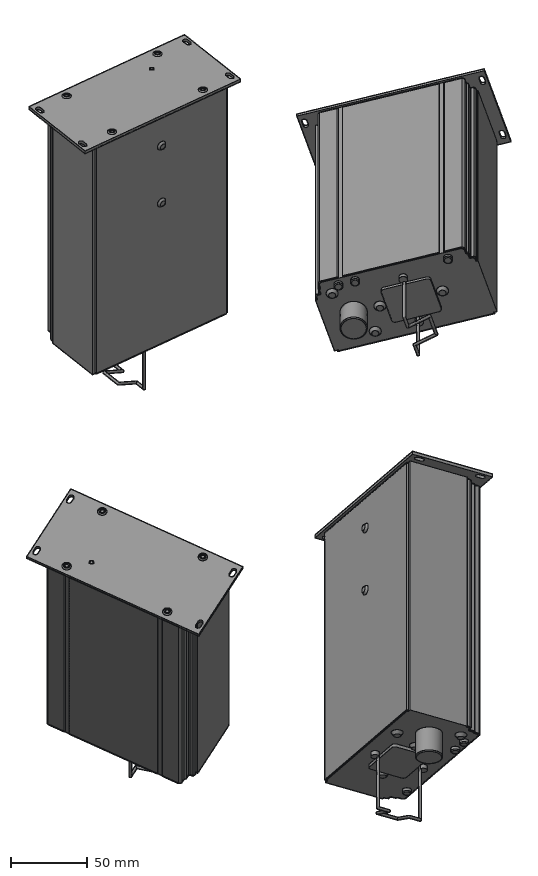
import cadquery as cq

plate_x = 60.5
plate_y = 128.3
plate_thick = 2.3
overall_z = 233.0

slot_length = 6.8
slot_width = 3.5
slot_x = 23.0
slot_edge_gap = 3.5

plate_screw_x = 24.5
case_screw_y = 37.5
plate_screw_dia = 6.0
screw_crown_dia = 4.2
plate_screw_height = 0.82
socket_dia = 2.8
socket_depth = 0.7

lamp_x = -14.0
lamp_y = 24.7
lamp_hole_dia = 3.0
lamp_dia = 2.0

case_length = 187.7
case_half_y = 55.7
heatsink_half_y = 55.0
back_half_y = 53.8
profile_setback = 0.7
heatsink_x = -29.5
cover_x0 = -16.0
cover_x1 = 27.3
back_x = 29.0
end_plate_inset = 0.7

round_depth = 1.6
round_mid_x = 1.0
round_mid_y = 0.5
shoulder_y = 50.3
ledge_start_x = -25.0
ledge_rise = 1.2
notch_wall_x = -20.0
root_bevel = 0.7
lip_bevel_x = 1.6
lip_bevel_y = 0.7

face_groove_inner_y = 33.0
face_groove_outer_y = 36.8
face_groove_depth = 0.7
face_groove_slope = 1.0

knob_dia = 6.8
knob_reach = 1.6
knob_depths = (23.8, 70.5)

fitting_x = 0.7
connector_y = 34.5
connector_dia = 18.0
connector_length = 18.0
connector_chamfer = 0.7
connector_screw_dx = 18.9
connector_screw_dy = 9.0
inlet_y = -5.0
inlet_x_size = 28.0
inlet_y_size = 34.0
inlet_height = 2.3
inlet_corner = 2.3
inlet_screw_dy = 21.5
dome_dia = 8.0
dome_crown_dia = 4.7
dome_height = 2.3

case_screw_x = -24.0
case_screw_dia = 6.0
case_screw_height = 2.8
case_screw_chamfer = 0.7
earth_screw_y = 26.0

wire_dia = 2.0
clip_boss_dx = 18.2
clip_boss_dia = 5.5
clip_boss_height = 3.0
clip_leg_dx = 15.8
clip_grip_dx = 7.7
clip_grip_dy = 15.0
clip_grip_rise = 5.8

case_bottom = -case_length
wire_low_z = plate_thick + plate_screw_height - overall_z + wire_dia / 2


def block(x0, x1, half_y, z0, z1):
    """Box between two X planes and two Z planes, symmetric in Y."""
    size = (x1 - x0, 2 * half_y, z1 - z0)
    return cq.Workplane("XY").box(*size, centered=False).translate((x0, -half_y, z0))


def cone(base_dia, tip_dia, height):
    """Screw head standing on Z = 0 and narrowing upward."""
    head = cq.Workplane("XY").circle(base_dia / 2)
    return head.workplane(offset=height).circle(tip_dia / 2).loft(ruled=True)


def heatsink_outline(inset, grooved):
    """Closed stepped outline of the heatsink profile, drawn in from the full size by inset."""
    face = heatsink_x + inset
    groove_floor = face + face_groove_depth
    half = []
    if grooved:
        half += [
            (face, face_groove_inner_y),
            (groove_floor, face_groove_inner_y),
            (groove_floor, face_groove_outer_y - face_groove_slope),
            (face, face_groove_outer_y),
        ]
    shoulder_x = face + round_depth
    flank_y = shoulder_y - inset
    ledge_y = flank_y + ledge_rise
    ledge_x = ledge_start_x + inset
    wall_x = notch_wall_x + inset
    lip_y = heatsink_half_y - inset
    half += [
        (face, flank_y - round_depth),
        (face + round_mid_x, flank_y - round_mid_y),
        (shoulder_x, flank_y),
        (ledge_x, flank_y),
        (ledge_x + ledge_rise, ledge_y),
        (wall_x - root_bevel, ledge_y),
        (wall_x, ledge_y + root_bevel),
        (wall_x, lip_y - lip_bevel_y),
        (wall_x + lip_bevel_x, lip_y),
        (cover_x0, lip_y),
    ]
    mirrored = [(x, -y) for x, y in reversed(half)]
    return cq.Workplane("XY").polyline(half + mirrored).close()


def case():
    profile_length = case_length - 2 * profile_setback
    heatsink = heatsink_outline(0, True).extrude(-profile_length).translate((0, 0, -profile_setback))
    end_core = heatsink_outline(end_plate_inset, False).extrude(-case_length)
    cover = block(cover_x0, cover_x1, case_half_y, case_bottom, 0)
    back = block(cover_x1, back_x, back_half_y, case_bottom + profile_setback, -profile_setback)
    back_core = block(cover_x1, back_x - end_plate_inset, back_half_y - end_plate_inset, case_bottom, 0)
    return cover.union(heatsink).union(end_core).union(back).union(back_core)


def front_plate():
    plate = cq.Workplane("XY").box(plate_x, plate_y, plate_thick, centered=(True, True, False))
    slot_y = plate_y / 2 - slot_edge_gap
    slots = [(sx * slot_x, sy * slot_y) for sx in (-1, 1) for sy in (-1, 1)]
    plate = plate.faces(">Z").workplane().pushPoints(slots).slot2D(slot_length, slot_width).cutThruAll()
    lamp_hole = cq.Workplane("XY").center(lamp_x, lamp_y).circle(lamp_hole_dia / 2).extrude(plate_thick)
    lamp = cq.Workplane("XY").center(lamp_x, lamp_y).circle(lamp_dia / 2).extrude(plate_thick)
    return plate.cut(lamp_hole).union(lamp)


def plate_screws():
    head = cone(plate_screw_dia, screw_crown_dia, plate_screw_height)
    head = head.faces(">Z").workplane().polygon(6, socket_dia).cutBlind(-socket_depth)
    screws = cq.Workplane("XY")
    for x in (-plate_screw_x, plate_screw_x):
        for y in (-case_screw_y, case_screw_y):
            screws = screws.add(head.translate((x, y, plate_thick)))
    return screws.combine()


def side_knobs():
    knob = cone(knob_dia, screw_crown_dia, knob_reach).rotate((0, 0, 0), (0, 1, 0), 90)
    knobs = cq.Workplane("XY")
    for depth in knob_depths:
        knobs = knobs.add(knob.translate((back_x, 0, -depth)))
    return knobs.combine()


def connector():
    body = cq.Workplane("XY").circle(connector_dia / 2).extrude(-connector_length)
    body = body.faces("<Z").chamfer(connector_chamfer)
    return body.translate((fitting_x, connector_y, case_bottom))


def inlet():
    flange = cq.Workplane("XY").rect(inlet_x_size, inlet_y_size).extrude(-inlet_height)
    flange = flange.edges("|Z").fillet(inlet_corner)
    return flange.translate((fitting_x, inlet_y, case_bottom))


def dome_screws():
    """Two screws on a diagonal of the connector and two in line with the inlet."""
    dome = cone(dome_dia, dome_crown_dia, dome_height).rotate((0, 0, 0), (1, 0, 0), 180)
    places = [
        (fitting_x - connector_screw_dx, connector_y + connector_screw_dy),
        (fitting_x + connector_screw_dx, connector_y - connector_screw_dy),
        (fitting_x, inlet_y + inlet_screw_dy),
        (fitting_x, inlet_y - inlet_screw_dy),
    ]
    domes = cq.Workplane("XY")
    for x, y in places:
        domes = domes.add(dome.translate((x, y, case_bottom)))
    return domes.combine()


def case_screws():
    head = cq.Workplane("XY").circle(case_screw_dia / 2).extrude(-case_screw_height)
    head = head.faces("<Z").chamfer(case_screw_chamfer)
    screws = cq.Workplane("XY")
    for y in (-case_screw_y, earth_screw_y, case_screw_y):
        screws = screws.add(head.translate((case_screw_x, y, case_bottom)))
    return screws.combine()


def wire_rod(start, end):
    """Round rod between two points with a ball at its far end, so bends close up."""
    axis = cq.Vector(*end) - cq.Vector(*start)
    rod = cq.Solid.makeCylinder(wire_dia / 2, axis.Length, cq.Vector(*start), axis)
    ball = cq.Workplane("XY").sphere(wire_dia / 2).translate(end)
    return ball.union(cq.Workplane(rod))


def wire_clip():
    grip_y = inlet_y - clip_grip_dy
    grip_z = wire_low_z + clip_grip_rise
    half = [
        (clip_leg_dx, inlet_y, case_bottom),
        (clip_leg_dx, inlet_y, wire_low_z),
        (clip_grip_dx, inlet_y, wire_low_z),
        (clip_grip_dx, grip_y, grip_z),
    ]
    path = half + [(-x, y, z) for x, y, z in reversed(half)]
    path = [(fitting_x + x, y, z) for x, y, z in path]
    boss = cq.Workplane("XY").circle(clip_boss_dia / 2).extrude(-clip_boss_height)
    clip = boss.translate((fitting_x - clip_boss_dx, inlet_y, case_bottom))
    clip = clip.union(boss.translate((fitting_x + clip_boss_dx, inlet_y, case_bottom)))
    for start, end in zip(path, path[1:]):
        clip = clip.union(wire_rod(start, end))
    return clip


result = case()
for feature in (
    front_plate(),
    plate_screws(),
    side_knobs(),
    connector(),
    inlet(),
    dome_screws(),
    case_screws(),
    wire_clip(),
):
    result = result.union(feature)